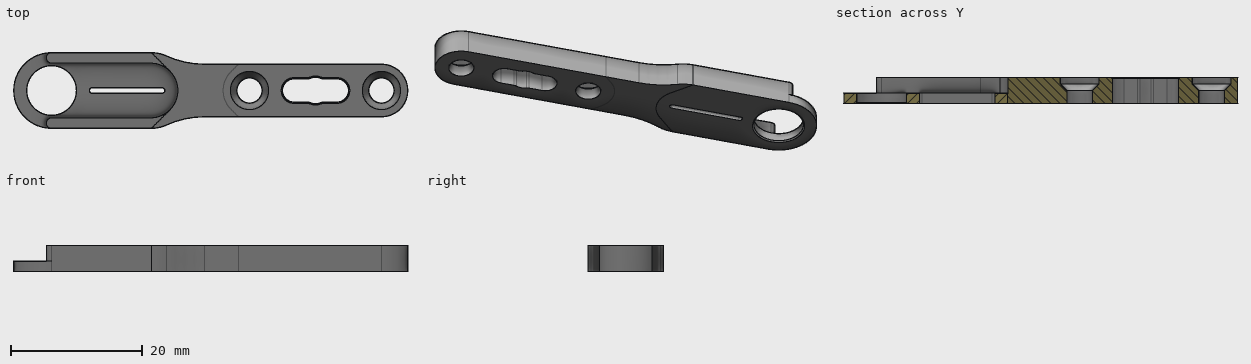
import cadquery as cq
import math

thickness = 4.0
cup_radius = 5.75
arm_radius = 4.0
eye_diameter = 7.5
eye_chamfer = 0.2

floor_thickness = 1.6
rail_width = 1.6
pocket_radius = cup_radius - rail_width
pocket_end_x = 15.0
floor_slot_start_x = 5.75
floor_slot_end_x = 17.15
floor_slot_width = 0.8

screw_xs = (30.0, 50.0)
screw_hole_diameter = 3.8
screw_head_diameter = 5.8
screw_head_depth = 1.0
screw_cone_depth = (screw_head_diameter - screw_hole_diameter) / 2

window_x = sum(screw_xs) / len(screw_xs)
window_width = 3.5
window_length = 10.0
bulge_diameter = 4.0
bulge_fillet = 1.0
window_chamfer = 0.2

joint_angle = math.radians(45)
blade_joint_x = screw_xs[0]
blade_joint_radius = arm_radius
arm_end_x = screw_xs[-1]

flare_start_x = pocket_end_x + pocket_radius / math.cos(joint_angle) - cup_radius
flare_middle_x = 17.4
flare_end_x = 23.15

clearance = 5.0


def mirrored(point):
    """The same point on the other side of the strap's centre line."""
    return (point[0], -point[1])


def strap_outline():
    """Outline of the whole strap: round cup end, flare, and arm with a round end."""
    flare_length = flare_end_x - flare_start_x
    flare_angle = 2 * math.atan((cup_radius - arm_radius) / flare_length)
    convex_radius = (flare_middle_x - flare_start_x) / math.sin(flare_angle)
    concave_radius = (flare_end_x - flare_middle_x) / math.sin(flare_angle)

    def convex_point(angle):
        x = flare_start_x + convex_radius * math.sin(angle)
        return (x, cup_radius - convex_radius * (1 - math.cos(angle)))

    def concave_point(angle):
        x = flare_end_x - concave_radius * math.sin(angle)
        return (x, arm_radius + concave_radius * (1 - math.cos(angle)))

    start = (flare_start_x, cup_radius)
    convex_middle = convex_point(flare_angle / 2)
    inflection = convex_point(flare_angle)
    concave_middle = concave_point(flare_angle / 2)
    end = (flare_end_x, arm_radius)
    return (
        cq.Workplane("XY")
        .moveTo(0, cup_radius)
        .lineTo(*start)
        .threePointArc(convex_middle, inflection)
        .threePointArc(concave_middle, end)
        .lineTo(arm_end_x, arm_radius)
        .threePointArc((arm_end_x + arm_radius, 0), (arm_end_x, -arm_radius))
        .lineTo(*mirrored(end))
        .threePointArc(mirrored(concave_middle), mirrored(inflection))
        .threePointArc(mirrored(convex_middle), mirrored(start))
        .lineTo(0, -cup_radius)
        .threePointArc((-cup_radius, 0), (0, cup_radius))
        .close()
    )


def disc(x, y, diameter, bottom, top):
    """Upright cylinder between two heights."""
    return cq.Workplane("XY", origin=(x, y, bottom)).circle(diameter / 2).extrude(top - bottom)


def pocket():
    """Space above the cup floor: between the rails, and around their round front ends."""
    top = thickness + clearance
    front_x = -cup_radius - clearance
    tangent_x = pocket_end_x + pocket_radius * math.cos(joint_angle)
    tangent_y = pocket_radius * math.sin(joint_angle)
    middle_angle = (joint_angle + math.pi / 2) / 2
    middle_x = pocket_end_x + pocket_radius * math.cos(middle_angle)
    middle_y = pocket_radius * math.sin(middle_angle)
    space = (
        cq.Workplane("XY", origin=(0, 0, floor_thickness))
        .moveTo(front_x, cup_radius + clearance)
        .lineTo(0, cup_radius + clearance)
        .lineTo(0, pocket_radius)
        .lineTo(pocket_end_x, pocket_radius)
        .threePointArc((middle_x, middle_y), (tangent_x, tangent_y))
        .threePointArc((pocket_end_x + pocket_radius, 0), (tangent_x, -tangent_y))
        .threePointArc((middle_x, -middle_y), (pocket_end_x, -pocket_radius))
        .lineTo(0, -pocket_radius)
        .lineTo(0, -cup_radius - clearance)
        .lineTo(front_x, -cup_radius - clearance)
        .close()
        .extrude(top - floor_thickness)
    )
    for side in (1, -1):
        rail_y = side * (cup_radius - rail_width / 2)
        space = space.cut(disc(0, rail_y, rail_width, floor_thickness, top))
    return space


def eye():
    """Round hole through the cup floor, widened by a chamfer at the underside."""
    chamfer = (
        cq.Workplane("XY")
        .circle(eye_diameter / 2 + eye_chamfer)
        .workplane(offset=eye_chamfer)
        .circle(eye_diameter / 2)
        .loft()
    )
    return chamfer.union(disc(0, 0, eye_diameter, 0, thickness))


def floor_slot():
    """Narrow slot through the cup floor."""
    middle_x = (floor_slot_start_x + floor_slot_end_x) / 2
    length = floor_slot_end_x - floor_slot_start_x
    return cq.Workplane("XY").center(middle_x, 0).slot2D(length, floor_slot_width).extrude(thickness)


def screw_hole(x):
    """Through hole with a cone that widens to the head recess."""
    cone_top = thickness - screw_head_depth
    cone_bottom = cone_top - screw_cone_depth
    cone = (
        cq.Workplane("XY", origin=(x, 0, cone_bottom))
        .circle(screw_hole_diameter / 2)
        .workplane(offset=screw_cone_depth)
        .circle(screw_head_diameter / 2)
        .loft()
    )
    return (
        cone.union(disc(x, 0, screw_hole_diameter, 0, thickness))
        .union(disc(x, 0, screw_head_diameter, cone_top, thickness))
    )


def window():
    """Slot with a bulge whose corners are rounded, and a chamfer at its top rim."""
    bulge_half_chord = math.sqrt(bulge_diameter**2 - window_width**2) / 2
    hole = (
        cq.Workplane("XY", origin=(window_x, 0, 0))
        .slot2D(window_length, window_width)
        .extrude(thickness)
        .union(disc(window_x, 0, bulge_diameter, 0, thickness))
    )
    for side_x in (1, -1):
        for side_y in (1, -1):
            corner = (window_x + side_x * bulge_half_chord, side_y * window_width / 2, thickness / 2)
            hole = hole.edges(cq.selectors.NearestToPointSelector(corner)).fillet(bulge_fillet)
    return hole


def chamfer_window(body):
    """Chamfer the window's rim on the top face."""
    reach_x = window_length / 2 + window_chamfer
    reach_y = bulge_diameter / 2 + window_chamfer
    rim = cq.selectors.BoxSelector(
        (window_x - reach_x, -reach_y, thickness - window_chamfer),
        (window_x + reach_x, reach_y, thickness + window_chamfer),
    )
    return body.edges(rim).edges("#Z").chamfer(window_chamfer)


def joint_side(center_x, radius, bulge_direction):
    """Everything on the +X side of a joint whose arc bulges to +X (1) or -X (-1)."""
    tangent_x = center_x + bulge_direction * radius * math.cos(joint_angle)
    tangent_y = radius * math.sin(joint_angle)
    reach_y = cup_radius + clearance
    reach_x = tangent_x - bulge_direction * (reach_y - tangent_y) / math.tan(joint_angle)
    far_x = arm_end_x + arm_radius + clearance
    return (
        cq.Workplane("XY")
        .moveTo(far_x, reach_y)
        .lineTo(reach_x, reach_y)
        .lineTo(tangent_x, tangent_y)
        .threePointArc((center_x + bulge_direction * radius, 0), (tangent_x, -tangent_y))
        .lineTo(reach_x, -reach_y)
        .lineTo(far_x, -reach_y)
        .close()
        .extrude(thickness)
    )


strap = strap_outline().extrude(thickness)
strap = strap.cut(eye()).cut(pocket()).cut(floor_slot())
for screw_x in screw_xs:
    strap = strap.cut(screw_hole(screw_x))
strap = chamfer_window(strap.cut(window()))

cup_side = joint_side(pocket_end_x, pocket_radius, 1)
cup = strap.cut(cup_side)

blade_side = joint_side(blade_joint_x, blade_joint_radius, -1)
neck = strap.intersect(cup_side).cut(blade_side)
blade = strap.intersect(blade_side)
arm = neck.union(blade, clean=False)

result = cq.Compound.makeCompound([cup.solids().val(), arm.solids().val()])